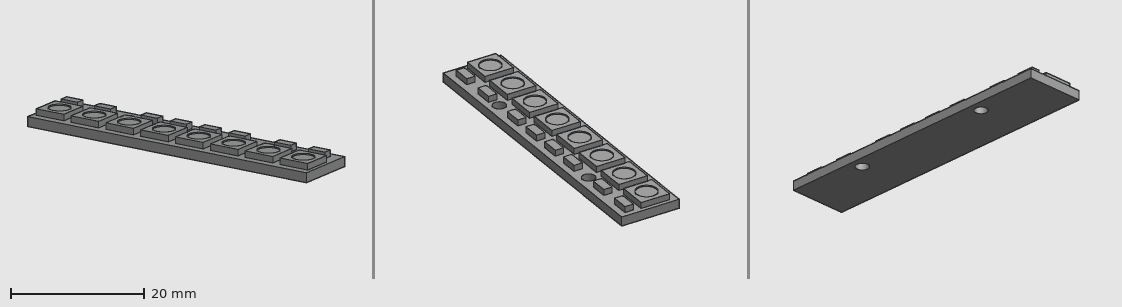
import cadquery as cq

board_length = 50.8
board_width = 10.15
board_thickness = 1.6

overall_height = 2.6
component_height = overall_height - board_thickness

led_count = 8
led_pitch = board_length / led_count
led_side = 5.05
led_row_y = -1.25
lens_diameter = 3.5
lens_depth = 0.2

chip_length = 3.0
chip_width = 1.45
chip_row_y = 3.2
middle_chip_count = 4
middle_chip_pitch = 5.35
first_middle_chip_x = -8.5
left_chip_xs = [-23.0, -16.95]
right_chip_xs = [15.85, 22.05]

hole_diameter = 2.2
hole_spacing = board_length / 2
hole_row_y = 3.05


def row_points(x_positions, y):
    return [(x, y) for x in x_positions]


def blocks(points, length, width):
    """Equal rectangular blocks standing on the top of the board."""
    return (
        cq.Workplane("XY")
        .workplane(offset=board_thickness)
        .pushPoints(points)
        .rect(length, width)
        .extrude(component_height)
    )


def round_cuts(points, diameter, bottom, top):
    """Equal upright cylinders between two levels, used for cutting."""
    return (
        cq.Workplane("XY")
        .workplane(offset=bottom)
        .pushPoints(points)
        .circle(diameter / 2)
        .extrude(top - bottom)
    )


led_xs = [(i - (led_count - 1) / 2) * led_pitch for i in range(led_count)]
led_points = row_points(led_xs, led_row_y)

middle_chip_xs = [first_middle_chip_x + i * middle_chip_pitch for i in range(middle_chip_count)]
chip_points = row_points(left_chip_xs + middle_chip_xs + right_chip_xs, chip_row_y)

hole_points = row_points([-hole_spacing / 2, hole_spacing / 2], hole_row_y)

board = cq.Workplane("XY").box(
    board_length, board_width, board_thickness, centered=(True, True, False)
)
leds = blocks(led_points, led_side, led_side)
chips = blocks(chip_points, chip_length, chip_width)
lenses = round_cuts(led_points, lens_diameter, overall_height - lens_depth, overall_height)
holes = round_cuts(hole_points, hole_diameter, 0, board_thickness)

result = board.union(leds).union(chips).cut(lenses).cut(holes)